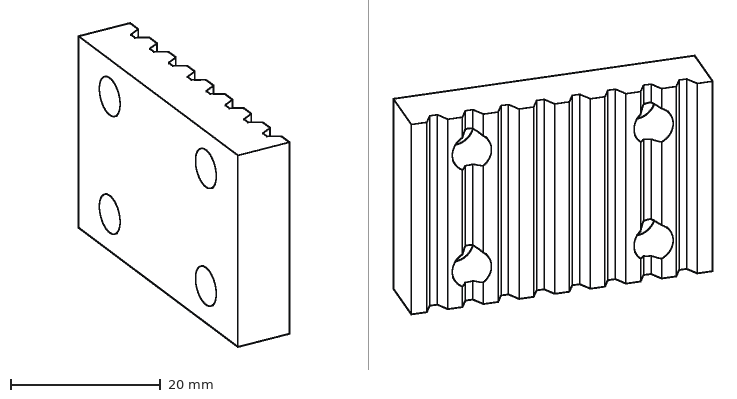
import cadquery as cq

length = 42.3
thickness = 8.0
height = 28.5

hole_diameter = 5.5
hole_spacing_x = 25.5
hole_spacing_z = 17.5
hole_edge_distance = 8.3

groove_count = 8
groove_pitch = 5.0
groove_depth = 1.7
groove_mouth_width = 2.95
groove_floor_width = 1.05

left_x = -length / 2
back_y = thickness / 2


def make_plate():
    return cq.Workplane("XY").box(length, thickness, height)


def make_groove(center_x):
    """Groove of trapezoidal section running the full height of the plate."""
    half_mouth = groove_mouth_width / 2
    half_floor = groove_floor_width / 2
    floor_y = back_y - groove_depth
    return (
        cq.Workplane("XY")
        .polyline([
            (center_x - half_mouth, back_y),
            (center_x - half_floor, floor_y),
            (center_x + half_floor, floor_y),
            (center_x + half_mouth, back_y),
        ])
        .close()
        .extrude(height / 2, both=True)
    )


def make_holes():
    """Four plain holes passing through the thickness."""
    left_hole_x = left_x + hole_edge_distance
    hole_x_positions = (left_hole_x, left_hole_x + hole_spacing_x)
    hole_z_positions = (-hole_spacing_z / 2, hole_spacing_z / 2)
    centers = [(x, z) for x in hole_x_positions for z in hole_z_positions]
    return (
        cq.Workplane("XZ")
        .pushPoints(centers)
        .circle(hole_diameter / 2)
        .extrude(thickness / 2, both=True)
    )


result = make_plate().cut(make_holes())

first_groove_x = -(groove_count - 1) * groove_pitch / 2
for index in range(groove_count):
    result = result.cut(make_groove(first_groove_x + index * groove_pitch))